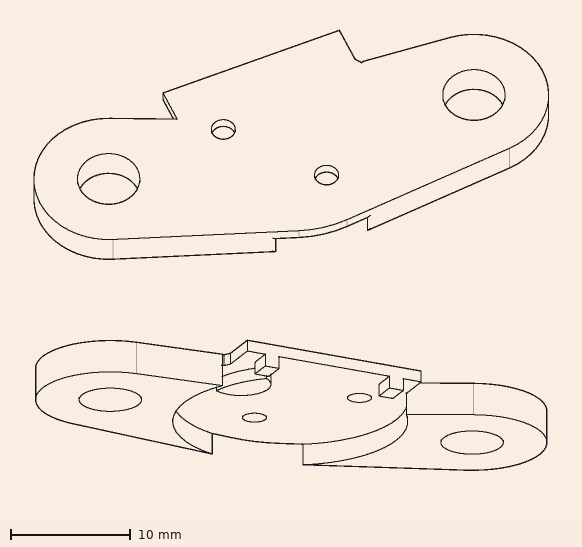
import cadquery as cq
import math

thickness = 2.85
web_thickness = 1.0
peg_length = 1.05
web_bottom = thickness - web_thickness
peg_bottom = web_bottom - peg_length

overall_length = 37.8
eye_a = (0, 0)
eye_b = (25.3, 19.15)
eye_radius = (overall_length - eye_b[0]) / 2
eye_hole_diameter = 5.2

hub_center = (12.75, 9.55)
hub_radius = 9.65
pocket_radius = 9.83

inner_corner_a = (3.05, 7.82)
inner_corner_b = (15.4, 19.0)

tab_angle = 45
tab_length = 16.1
tab_reach = 8.55

block_width = 1.3
block_depth = 2.0
block_spacing = 11.5
pillar_radius = 2.5
pillar_place = (6.43, 3.95)
pillar_limit_radius = 7.9

small_hole_diameter = 2.0
small_holes = [(7.05, 8.25), (16.82, 7.0)]


def tangent_points(first, first_radius, second, second_radius, side):
    """Ends of the common outer tangent; side is +1 left or -1 right of first-to-second."""
    dx = second[0] - first[0]
    dy = second[1] - first[1]
    lean = math.acos((first_radius - second_radius) / math.hypot(dx, dy))
    angle = math.atan2(dy, dx) + side * lean
    normal = (math.cos(angle), math.sin(angle))
    return [
        (center[0] + radius * normal[0], center[1] + radius * normal[1])
        for center, radius in ((first, first_radius), (second, second_radius))
    ]


def cylinder(center, radius, bottom, top):
    return cq.Workplane("XY", origin=(*center, bottom)).circle(radius).extrude(top - bottom)


def arm(eye, inner_corner, inner_side):
    """Full-height arm: a round eye with straight edges running to the hub."""
    outer_edge = tangent_points(eye, eye_radius, hub_center, hub_radius, -inner_side)
    inner_edge = tangent_points(eye, eye_radius, inner_corner, 0, inner_side)
    outline = [eye, *outer_edge, hub_center, *reversed(inner_edge)]
    body = cq.Workplane("XY").polyline(outline).close().extrude(thickness)
    return body.union(cylinder(eye, eye_radius, 0, thickness))


def in_tab_frame(shape):
    return shape.rotate((0, 0, 0), (0, 0, 1), tab_angle).translate((*hub_center, 0))


def box(center_x, width, y_min, y_max, bottom, top):
    return (
        cq.Workplane("XY", origin=(center_x, (y_min + y_max) / 2, bottom))
        .rect(width, y_max - y_min)
        .extrude(top - bottom)
    )


def web():
    """Thin hub disk, trimmed flat at the tab edge, together with the tab."""
    disk = cylinder((0, 0), hub_radius, web_bottom, thickness)
    kept_side = box(0, 2 * hub_radius, -hub_radius, tab_reach, web_bottom, thickness)
    tab = box(0, tab_length, 0, tab_reach, web_bottom, thickness)
    return in_tab_frame(disk.intersect(kept_side).union(tab))


def pegs():
    """Two blocks flush with the tab edge and a pillar bounded by two arcs."""
    shape = cylinder(pillar_place, pillar_radius, peg_bottom, web_bottom)
    shape = shape.intersect(cylinder((0, 0), pillar_limit_radius, peg_bottom, web_bottom))
    for side in (-1, 1):
        center_x = side * block_spacing / 2
        block = box(center_x, block_width, tab_reach - block_depth, tab_reach, peg_bottom, web_bottom)
        shape = shape.union(block)
    return in_tab_frame(shape)


arms = arm(eye_a, inner_corner_a, 1).union(arm(eye_b, inner_corner_b, -1))
arms = arms.cut(cylinder(hub_center, pocket_radius, 0, web_bottom))
result = arms.union(web()).union(pegs())

for center in (eye_a, eye_b):
    result = result.cut(cylinder(center, eye_hole_diameter / 2, 0, thickness))
for center in small_holes:
    result = result.cut(cylinder(center, small_hole_diameter / 2, 0, thickness))